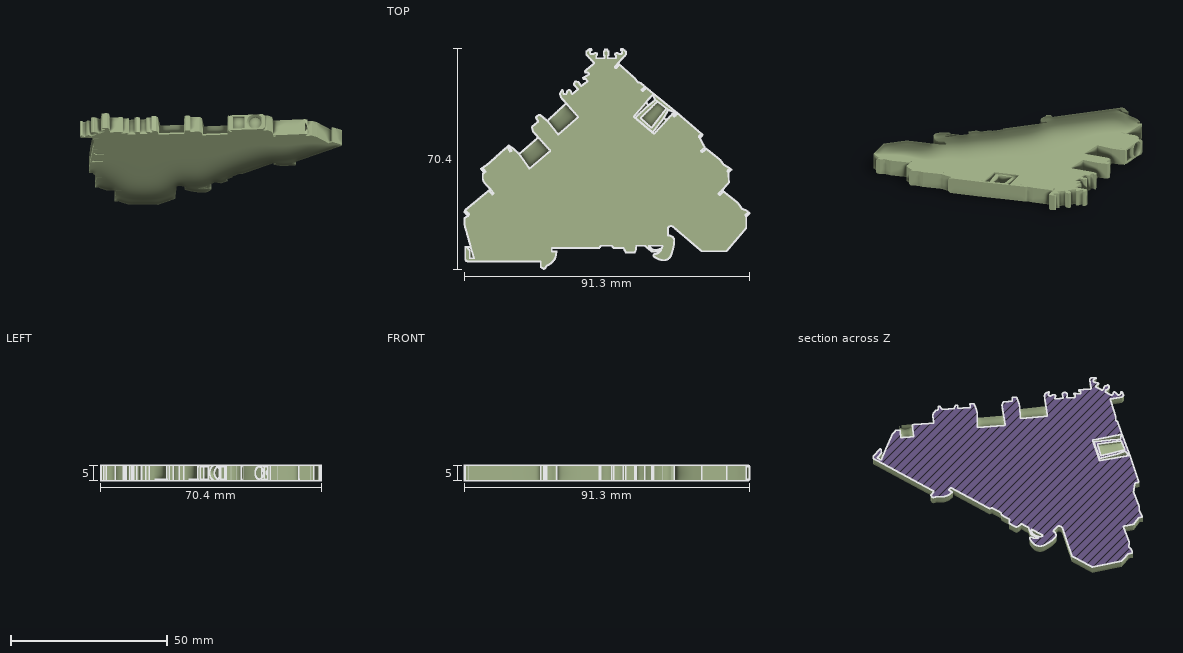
import cadquery as cq
import math

THICKNESS = 5.0
WIDTH = 91.25
HEIGHT = 70.4
FLOOR = 0.5

LEFT_X = -45.45
RIGHT_X = LEFT_X + WIDTH

BASE_Y = 2.4
RAIL_Y = 6.7
RAIL_RELIEF_Y = 7.4
NOSE_Y = 5.7
FOOT_X = -45.2
FOOT_TOP_Y = 7.1
FOOT_RADIUS = 1.0

TOWER_WALL = 2.5

APEX_X = -0.1
SEAT_Y = 67.4
APEX_ROOT = (3.8, 65.8)
HOOK_HALF_WIDTH = 6.4

BEVEL_WIDTH = 0.6
BEVEL_DEPTH = 0.5

FLANK_ANGLE = 40.0
WIRE_HOLE_CENTRE = (-44.0, 19.8)
WIRE_HOLE_DIAMETER = 4.0
WIRE_HOLE_DEPTH = 5.0
FUNNEL_CENTRE = (-37.6, 34.0)
FUNNEL_MOUTH = 5.2
FUNNEL_FLOOR = 3.7
FUNNEL_DEPTH = 1.4
LATCH_POCKET_CENTRE = (-33.7, 37.4)
LATCH_POCKET_LENGTH = 3.8
LATCH_POCKET_DEPTH = 1.5
LATCH_POCKET_HEIGHT = 4.0

BLOCK_TOP = 4.5
BLOCK_CAVITY_FLOOR = 1.8

LEFT_LIP_LOW = ((LEFT_X, 18.2), (-44.2, 17.1))
LEFT_LIP_HIGH = ((-40.1, 32.0), (-39.1, 30.8))
LEFT_CORNER = (-37.1, 25.5)
LEFT_SHOULDER = (-31.2, 39.5)
RIGHT_CORNER_HIGH = (31.5, 38.8)
RIGHT_CORNER_LOW = (37.0, 25.2)
RIGHT_LIP_TOP = ((30.8, 42.9), (29.9, 41.9))
RIGHT_LIP_HIGH = ((40.0, 31.8), (39.0, 30.9))
RIGHT_LIP_LOW = ((RIGHT_X, 17.8), (44.7, 16.8))
WINDOW_TOP = (15.0, 56.1)
WINDOW_BOTTOM = (22.3, 50.2)
RECESS_LOW = [(-27.9, 36.8), (-21.8, 42.1), (-17.9, 37.8), (-24.6, 32.1)]
RECESS_HIGH = [(-18.9, 47.4), (-12.9, 53.0), (-9.0, 48.6), (-15.4, 43.0)]


def mirrored(points):
    """Right-half points about the apex axis, turned into the left half in reverse order."""
    return [(2 * APEX_X - x, y) for x, y in reversed(points)]


def extended(start, end, length):
    """Point on the line from start to end, the given length behind start."""
    scale = length / math.dist(start, end)
    return (start[0] - scale * (end[0] - start[0]), start[1] - scale * (end[1] - start[1]))


def prism(points, bottom, top):
    return cq.Workplane("XY").workplane(offset=bottom).polyline(points).close().extrude(top - bottom)


def apex_half():
    """Right half of the apex, from the central prong round the hook to its root."""
    prong = [(0.4, 70.2), (0.5, 69.7), (0.8, 69.6), (0.8, 68.4), (0.55, 68.2), (0.55, SEAT_Y)]
    catch = [(3.1, SEAT_Y), (3.1, 68.2), (2.8, 68.6), (2.9, 69.0), (3.5, 69.1), (4.1, 68.8)]
    hook = [(4.9, 68.7), (5.1, 69.2), (5.1, 69.7), (4.6, 70.0), (4.8, HEIGHT), (5.3, HEIGHT)]
    back = [(HOOK_HALF_WIDTH, 69.5), (HOOK_HALF_WIDTH, 68.6), APEX_ROOT]
    return [(APEX_X + x, y) for x, y in prong + catch + hook + back]


def outline():
    left_flank = [
        (-45.4, 14.1), (-45.4, 16.3), LEFT_LIP_LOW[1], LEFT_LIP_LOW[0], (-45.0, 19.0),
        (-37.9, 24.9), LEFT_CORNER, (-38.6, 27.1),
    ]
    left_flank_upper = [
        (-39.6, 30.4), LEFT_LIP_HIGH[1], LEFT_LIP_HIGH[0], (-37.6, 33.8), (-33.2, 37.8), LEFT_SHOULDER,
        (-29.8, 38.6),
    ]
    tower_wall_low = extended(RECESS_LOW[1], RECESS_LOW[2], TOWER_WALL)
    tower_wall_high = extended(RECESS_HIGH[1], RECESS_HIGH[2], TOWER_WALL)
    clamp_towers = [
        RECESS_LOW[0], RECESS_LOW[1], tower_wall_low, (-23.9, 45.4), (-21.8, 47.2), (-22.6, 48.5),
        (-21.7, 49.3), (-21.2, 49.3), RECESS_HIGH[0], RECESS_HIGH[1], tower_wall_high,
    ]
    marker_clips = [
        (-14.9, 56.0), (-14.2, 57.3), (-13.8, 56.9), (-13.8, 56.0), (-12.9, 55.9), (-12.5, 57.0),
        (-12.0, 57.3), (-11.4, 57.0), (-11.0, 55.9), (-9.1, 57.5), (-10.5, 59.0), (-10.0, 60.0),
        (-9.0, 59.9), (-8.1, 58.5), (-6.1, 60.0), (-6.7, 60.8), (-7.2, 60.6), (-7.5, 61.1),
        (-5.5, 62.3), (-6.0, 62.9), (-6.7, 62.7), (-7.0, 63.2),
    ]
    right_flank = [
        (9.0, 61.1), (10.1, 59.7), (10.8, 59.6), WINDOW_TOP, WINDOW_BOTTOM,
        RIGHT_LIP_TOP[0], RIGHT_LIP_TOP[1], RIGHT_CORNER_HIGH, (36.4, 34.9), (37.4, 33.5),
        RIGHT_LIP_HIGH[0], RIGHT_LIP_HIGH[1], (39.2, 27.7), RIGHT_CORNER_LOW, (42.1, 21.1),
        (43.3, 19.3), (44.7, 18.8), RIGHT_LIP_LOW[0], RIGHT_LIP_LOW[1], (44.7, 13.1),
        (38.4, NOSE_Y), (30.4, NOSE_Y), (21.5, 13.3),
    ]
    rail_seat = [
        (9.6, RAIL_RELIEF_Y), (9.4, 5.9), (9.0, 5.3), (6.2, 5.3), (5.4, RAIL_Y), (2.3, RAIL_Y),
        (1.7, RAIL_RELIEF_Y), (-1.8, RAIL_RELIEF_Y), (-2.3, RAIL_Y), (-17.4, RAIL_Y),
        (-17.4, 5.7), (-15.9, 5.7),
    ]
    apex = apex_half()
    foot_mid = FOOT_RADIUS * (1 - math.sqrt(0.5))

    profile = cq.Workplane("XY").moveTo(FOOT_X + FOOT_RADIUS, BASE_Y)
    profile = profile.threePointArc((FOOT_X + foot_mid, BASE_Y + foot_mid), (FOOT_X, BASE_Y + FOOT_RADIUS))
    profile = profile.lineTo(FOOT_X, FOOT_TOP_Y)
    profile = profile.lineTo(-43.4, FOOT_TOP_Y)
    for point in left_flank:
        profile = profile.lineTo(*point)
    profile = profile.threePointArc((-39.25, 27.95), (-39.6, 28.9))
    for point in left_flank_upper + clamp_towers + marker_clips + mirrored(apex) + apex + right_flank:
        profile = profile.lineTo(*point)

    profile = profile.threePointArc((20.6, 13.7), (19.7, 13.2))
    profile = profile.lineTo(19.7, 10.8)
    profile = profile.threePointArc((21.0, 10.4), (21.7, 9.4))
    profile = profile.threePointArc((21.5, 7.1), (20.8, 4.8))
    profile = profile.threePointArc((19.7, 3.2), (17.8, 2.8))
    profile = profile.threePointArc((16.5, 3.2), (15.3, 3.9))
    profile = profile.threePointArc((15.0, 4.35), (15.3, 4.8))
    profile = profile.threePointArc((16.7, 5.3), (17.5, 6.2))
    profile = profile.threePointArc((16.1, 5.6), (14.5, 5.6))
    profile = profile.lineTo(12.3, RAIL_RELIEF_Y)
    for point in rail_seat:
        profile = profile.lineTo(*point)
    profile = profile.lineTo(-16.2, 3.9)
    profile = profile.threePointArc((-17.2, 2.3), (-19.0, 1.1))
    profile = profile.lineTo(-19.6, 0.2)
    profile = profile.lineTo(-20.0, 0.0)
    profile = profile.lineTo(-21.0, 0.6)
    profile = profile.lineTo(-21.0, BASE_Y)
    return profile.close()


def bevel(start, end, toward):
    """Wedges cut along a segment into both broad faces; deepest on the segment itself.

    The wedge fades out BEVEL_WIDTH away from the segment, on its left (toward=1) or right (-1).
    """
    length = math.dist(start, end)
    along = ((end[0] - start[0]) / length, (end[1] - start[1]) / length, 0)
    section = cq.Plane(origin=(start[0], start[1], 0), xDir=(-along[1], along[0], 0), normal=along)
    reach = toward * BEVEL_WIDTH
    wedges = []
    for face, floor in ((0, BEVEL_DEPTH), (THICKNESS, THICKNESS - BEVEL_DEPTH)):
        corners = [(0, face), (reach, face), (0, floor)]
        wedges.append(cq.Workplane(section).polyline(corners).close().extrude(length))
    return wedges


def flank_plane(x, y):
    """Plane on the sloping left flank, its normal pointing into the body."""
    angle = math.radians(FLANK_ANGLE)
    inward = (math.sin(angle), -math.cos(angle), 0)
    return cq.Plane(origin=(x, y, THICKNESS / 2), xDir=(math.cos(angle), math.sin(angle), 0), normal=inward)


def cut_release_window(body):
    inner_left = (8.7, 48.7)
    inner_right = (15.2, 43.2)
    tip_left = (14.8, 55.7)
    tip_right = (21.6, 50.1)
    bar_left = (15.6, 54.1)
    bar_right = (19.8, 50.9)
    block_left = (13.4, 52.3)
    block_right = (18.4, 48.4)
    window = [tip_left, inner_left, inner_right, tip_right, bar_right, bar_left]
    block = [block_left, (9.2, 48.4), (14.8, 43.7), block_right, bar_right, bar_left]
    cavity = [(16.3, 53.57), (10.9, 48.3), (14.4, 45.1), (19.2, 51.36)]
    through_gaps = [
        [tip_left, (12.7, 53.4), block_left, bar_left],
        [tip_right, (19.1, 47.6), block_right, bar_right],
    ]
    body = body.cut(prism(window, FLOOR, THICKNESS))
    body = body.union(prism(block, 0, BLOCK_TOP))
    body = body.cut(prism(cavity, BLOCK_CAVITY_FLOOR, THICKNESS))
    for gap in through_gaps:
        body = body.cut(prism(gap, 0, THICKNESS))
    return body


def cut_recesses(body):
    """Open clamp recesses, the slit beside the left foot and the through slot above the spring."""
    foot_slit = [(-44.7, 7.1), (-43.7, 5.9), (-43.7, 3.5), (-42.3, 3.5), (-43.5, 7.4)]
    for recess in (RECESS_LOW, RECESS_HIGH, foot_slit):
        body = body.cut(prism(recess, FLOOR, THICKNESS))
    slot = cq.Workplane("XY").moveTo(13.5, RAIL_RELIEF_Y).lineTo(17.9, RAIL_RELIEF_Y)
    slot = slot.lineTo(17.7, 6.7).threePointArc((16.2, 6.2), (14.7, 6.3)).close()
    return body.cut(slot.extrude(THICKNESS))


def cut_wire_entries(body):
    hole = cq.Workplane(flank_plane(*WIRE_HOLE_CENTRE)).circle(WIRE_HOLE_DIAMETER / 2)
    hole = hole.extrude(WIRE_HOLE_DEPTH)
    mouth = flank_plane(*FUNNEL_CENTRE)
    funnel = cq.Solid.makeCone(FUNNEL_MOUTH / 2, FUNNEL_FLOOR / 2, FUNNEL_DEPTH, mouth.origin, mouth.zDir)
    latch = cq.Workplane(flank_plane(*LATCH_POCKET_CENTRE)).rect(LATCH_POCKET_LENGTH, LATCH_POCKET_HEIGHT)
    latch = latch.extrude(LATCH_POCKET_DEPTH)
    return body.cut(hole).cut(funnel).cut(latch)


def cut_bevels(body):
    apex_root = (APEX_X + APEX_ROOT[0], APEX_ROOT[1])
    segments = [
        (*LEFT_LIP_LOW, 1),
        (*LEFT_LIP_HIGH, 1),
        (LEFT_CORNER, (-36.0, 24.2), -1),
        (LEFT_SHOULDER, (-30.3, 37.8), -1),
        (apex_root, (2.6, 64.5), 1),
        ((12.3, 58.3), (11.2, 57.3), 1),
        (WINDOW_BOTTOM, (21.3, 49.1), 1),
        (*RIGHT_LIP_TOP, -1),
        (RIGHT_CORNER_HIGH, (30.2, 37.8), 1),
        (*RIGHT_LIP_HIGH, -1),
        (RIGHT_CORNER_LOW, (35.8, 24.1), 1),
        (*RIGHT_LIP_LOW, -1),
    ]
    for start, end, toward in segments:
        for wedge in bevel(start, end, toward):
            body = body.cut(wedge)
    return body


body = outline().extrude(THICKNESS)
body = cut_recesses(body)
body = cut_release_window(body)
body = cut_wire_entries(body)
result = cut_bevels(body)